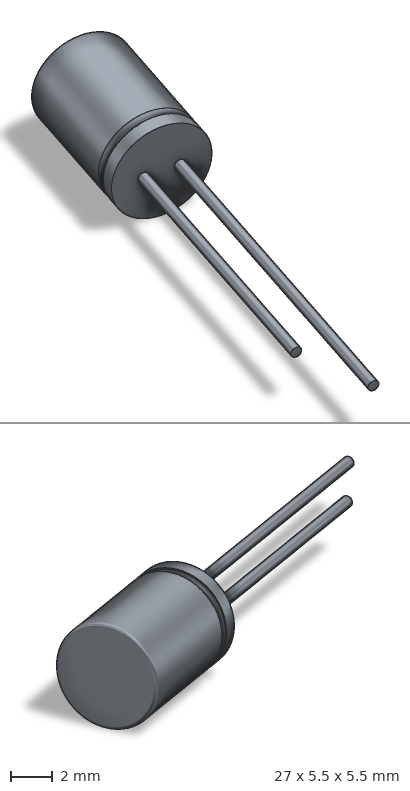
import cadquery as cq
import math

overall_length = 27.0
body_diameter = 5.5
body_length = 8.0
body_radius = body_diameter / 2

can_edge_radius = 0.2
seal_thickness = 0.8
can_length = body_length - seal_thickness

groove_start = 6.7
groove_slope = 0.2
groove_round_start = groove_start + groove_slope
groove_round_start_radius = body_radius - groove_slope
half_diagonal = math.sqrt(0.5)
groove_round_radius = (can_length - groove_round_start) / (1 + half_diagonal)
groove_round_center_x = can_length - groove_round_radius
groove_round_center_y = groove_round_start_radius + groove_round_radius * half_diagonal

lead_diameter = 0.6
lead_pitch = 2.0
long_lead_length = overall_length - body_length
lead_length_difference = 4.0
short_lead_length = long_lead_length - lead_length_difference


def make_can():
    """Turned can with a rounded closed end and a crimp groove next to the seal."""
    profile = (
        cq.Workplane("XY")
        .lineTo(0, body_radius)
        .lineTo(groove_start, body_radius)
        .lineTo(groove_round_start, groove_round_start_radius)
        .threePointArc(
            (groove_round_center_x, groove_round_center_y - groove_round_radius),
            (can_length, groove_round_center_y),
        )
        .lineTo(can_length, 0)
        .close()
    )
    can = profile.revolve(360, (0, 0, 0), (1, 0, 0))
    return can.faces("<X").edges().fillet(can_edge_radius)


def make_seal():
    """Plain end disc that closes the can."""
    return (
        cq.Workplane("YZ", origin=(can_length, 0, 0))
        .circle(body_radius)
        .extrude(seal_thickness)
    )


def make_lead(y_position, length):
    """Round wire standing on the outer face of the seal."""
    return (
        cq.Workplane("YZ", origin=(body_length, y_position, 0))
        .circle(lead_diameter / 2)
        .extrude(length)
    )


can = make_can()
seal = make_seal()
leads = [
    make_lead(side * lead_pitch / 2, length)
    for side, length in ((1, long_lead_length), (-1, short_lead_length))
]

result = cq.Compound.makeCompound([can.val(), seal.val(), *[lead.val() for lead in leads]])